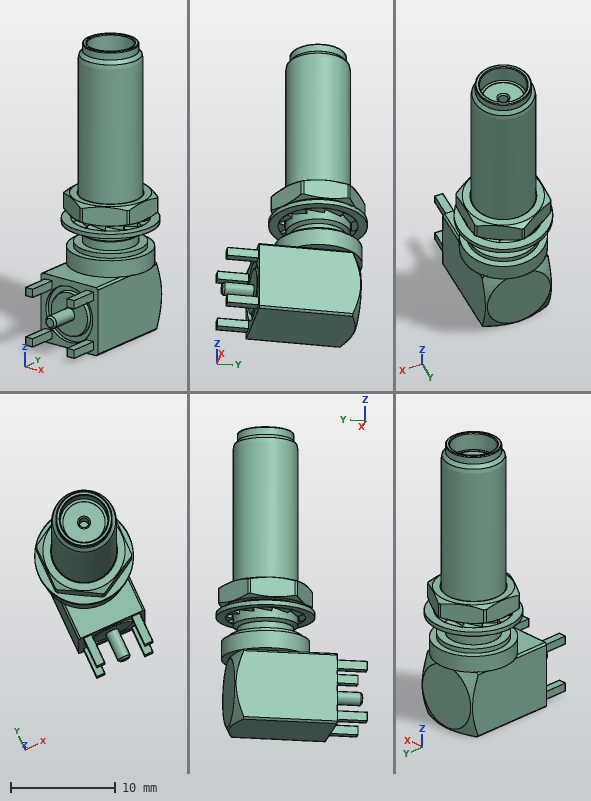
import cadquery as cq
import math


block_width = 7.0
block_edge_chamfer = 0.2
block_front_y = -6.4
block_length = 10.0
back_cone_angle = 30
back_circle_radius = 3.33
leg_length = 3.0
leg_side = 0.85
leg_offset = 2.55
block_mid_z = block_width / 2
block_back_y = block_front_y + block_length

groove_radius = 2.85
groove_depth = 0.38
boss_face_radius = 2.2
boss_base_radius = 2.3
pin_radius = 0.65
pin_chamfer = 0.192

flange_radius = 4.25
flange_top_z = 8.7
collar_radius = 3.57
collar_top_z = 9.17
neck_radius = 2.7
thread_radius = 3.13
thread_relief_z = 10.05
thread_bottom_z = 10.32
total_height = 29.5
rim_length = 0.8
rim_base_z = total_height - rim_length
rim_edge_chamfer = 0.1
shoulder_radius = 3.05
shoulder_z = 28.32
thread_top_z = 27.88

socket_radius = 2.3
socket_depth = 1.8
socket_floor_z = total_height - socket_depth
insulator_radius = 2.05
insulator_recess = 0.05
contact_z = socket_floor_z - insulator_recess
contact_hole_radius = 0.47
contact_hole_chamfer = 0.15
contact_hole_depth = 1.77

nut_across_flats = 8.05
nut_corner_radius = 4.57
nut_bottom_z = 12.12
nut_height = 2.0
nut_face_radius = 3.95
nut_chamfer_height = 0.28
nut_bore_chamfer = 0.1

washer_radius = 4.75
washer_bottom_z = 11.15
washer_thickness = 0.45
tooth_count = 12
tooth_root_radius = 3.84
tooth_tip_radius = 3.2
tooth_twist_height = 0.2


def turned(points):
    """Solid of revolution about the Z axis from (radius, height) points."""
    return cq.Workplane("XZ").polyline(points).close().revolve(360, (0, 0), (0, 1))


def toward_front(start_y):
    """Workplane on the block's mid axis whose normal points to -Y."""
    return cq.Workplane("XZ", origin=(0, start_y, block_mid_z))


def make_block():
    prism = (
        toward_front(block_back_y)
        .rect(block_width, block_width)
        .extrude(block_length)
        .edges("|Y")
        .chamfer(block_edge_chamfer)
    )
    trim_radius = block_width
    cone_length = (trim_radius - back_circle_radius) * math.tan(math.radians(back_cone_angle))
    envelope = (
        cq.Workplane("XY", origin=(0, 0, block_mid_z))
        .moveTo(0, block_back_y)
        .lineTo(back_circle_radius, block_back_y)
        .lineTo(trim_radius, block_back_y - cone_length)
        .lineTo(trim_radius, block_front_y)
        .lineTo(0, block_front_y)
        .close()
        .revolve(360, (0, 0), (0, 1))
    )
    groove = toward_front(block_front_y + groove_depth).circle(groove_radius).extrude(groove_depth)
    boss = (
        toward_front(block_front_y + groove_depth)
        .circle(boss_base_radius)
        .workplane(offset=groove_depth)
        .circle(boss_face_radius)
        .loft()
    )
    return prism.intersect(envelope).cut(groove).union(boss)


def make_legs():
    legs = (
        toward_front(block_front_y)
        .rect(2 * leg_offset, 2 * leg_offset, forConstruction=True)
        .vertices()
        .rect(leg_side, leg_side)
        .extrude(leg_length)
    )
    pin = toward_front(block_front_y).circle(pin_radius).extrude(leg_length)
    return legs.union(pin.faces("<Y").chamfer(pin_chamfer))


def make_barrel():
    barrel = turned([
        (0, block_width),
        (flange_radius, block_width),
        (flange_radius, flange_top_z),
        (collar_radius, flange_top_z),
        (collar_radius, collar_top_z),
        (neck_radius, collar_top_z),
        (neck_radius, thread_relief_z),
        (thread_radius, thread_bottom_z),
        (thread_radius, thread_top_z),
        (shoulder_radius, shoulder_z),
        (neck_radius, rim_base_z),
        (neck_radius, total_height - rim_edge_chamfer),
        (neck_radius - rim_edge_chamfer, total_height),
        (0, total_height),
    ])
    socket = turned([
        (0, contact_z - contact_hole_depth),
        (contact_hole_radius, contact_z - contact_hole_depth),
        (contact_hole_radius, contact_z - contact_hole_chamfer),
        (contact_hole_radius + contact_hole_chamfer, contact_z),
        (insulator_radius, contact_z),
        (insulator_radius, socket_floor_z),
        (socket_radius, socket_floor_z),
        (socket_radius, total_height - rim_edge_chamfer),
        (socket_radius + rim_edge_chamfer, total_height),
        (0, total_height),
    ])
    return barrel.cut(socket)


def make_nut():
    """Hexagon nut with flats facing +X and -X, chamfered on both faces."""
    nut_top_z = nut_bottom_z + nut_height
    across_corners = nut_across_flats / math.cos(math.pi / 6)
    hexagon = (
        cq.Workplane("XY", origin=(0, 0, nut_bottom_z))
        .transformed(rotate=(0, 0, 30))
        .polygon(6, across_corners)
        .extrude(nut_height)
    )
    bore_face_radius = thread_radius + nut_bore_chamfer
    envelope = turned([
        (bore_face_radius, nut_bottom_z),
        (nut_face_radius, nut_bottom_z),
        (nut_corner_radius, nut_bottom_z + nut_chamfer_height),
        (nut_corner_radius, nut_top_z - nut_chamfer_height),
        (nut_face_radius, nut_top_z),
        (bore_face_radius, nut_top_z),
        (thread_radius, nut_top_z - nut_bore_chamfer),
        (thread_radius, nut_bottom_z + nut_bore_chamfer),
    ])
    return hexagon.intersect(envelope)


def make_connector():
    """Block, legs, barrel and seated nut as one solid."""
    return make_block().union(make_legs()).union(make_barrel()).union(make_nut())


def make_tooth():
    """One washer tooth along +X: level at its root, twisted at its tip."""
    half_angle = math.pi / tooth_count

    def end_outline(radius, twist):
        half_width = radius * math.tan(half_angle)
        return cq.Wire.makePolygon(
            [
                cq.Vector(radius, -half_width, washer_bottom_z + twist),
                cq.Vector(radius, half_width, washer_bottom_z - twist),
                cq.Vector(radius, half_width, washer_bottom_z + washer_thickness - twist),
                cq.Vector(radius, -half_width, washer_bottom_z + washer_thickness + twist),
            ],
            close=True,
        )

    root = end_outline(tooth_root_radius, 0)
    tip = end_outline(tooth_tip_radius, tooth_twist_height)
    return cq.Workplane(cq.Solid.makeLoft([root, tip], True))


def make_washer():
    washer = (
        cq.Workplane("XY", origin=(0, 0, washer_bottom_z))
        .circle(washer_radius)
        .circle(tooth_root_radius)
        .extrude(washer_thickness)
    )
    root_cylinder = (
        cq.Workplane("XY", origin=(0, 0, washer_bottom_z - washer_thickness))
        .circle(tooth_root_radius)
        .extrude(3 * washer_thickness)
    )
    tooth = make_tooth().intersect(root_cylinder)
    pitch = 360 / tooth_count
    for index in range(tooth_count):
        turn = (index + 0.5) * pitch
        washer = washer.union(tooth.rotate((0, 0, 0), (0, 0, 1), turn))
    return washer


connector = make_connector()
washer = make_washer()

result = cq.Compound.makeCompound([connector.solids().val(), washer.solids().val()])